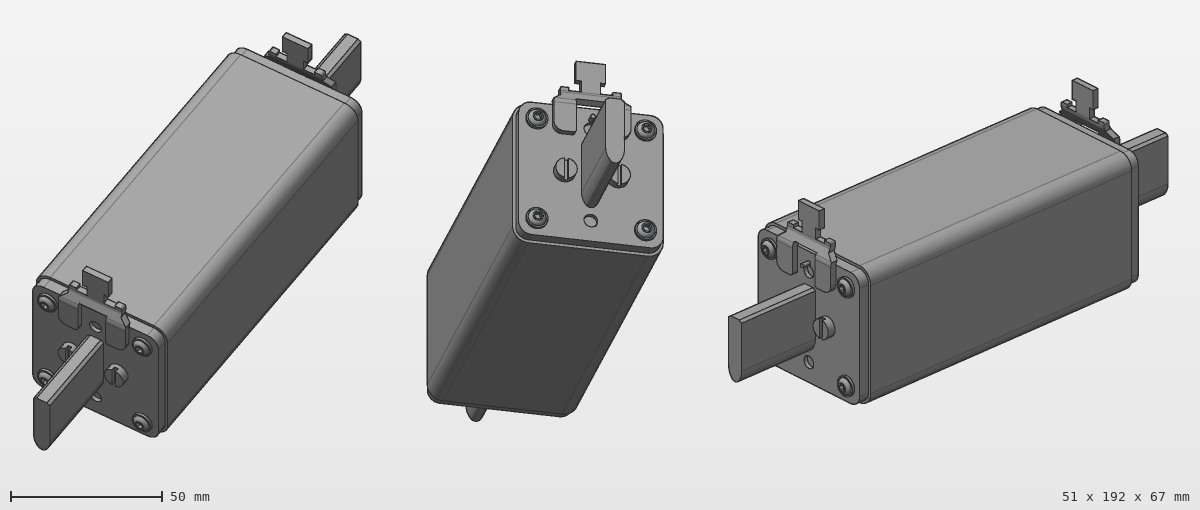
import cadquery as cq
import math


total_length = 192.0
body_width = 51.0
body_half_length = 58.8
body_corner_radius = 5.4
cap_thickness = 4.0
cap_inset = 1.05
cap_face = body_half_length + cap_thickness

blade_width = 6.3
blade_half_width = blade_width / 2
blade_top = 11.7
blade_top_chamfer_width = 1.2
blade_top_chamfer_height = 0.8
blade_flank_start = -7.0
blade_tip_half_width = 1.44
blade_tip_start = -11.5
blade_bottom = -12.0

hole_radius = 2.3
hole_depth = 1.5
hole_offset = 16.9

pin_radius = 0.8
pin_height = 3.0
pin_z = 20.2

slot_screw_offset = 9.0
slot_screw_radius = 3.6
slot_screw_height = 3.0
slot_width = 1.3
slot_depth = 1.5

corner_screw_offset = 18.5
corner_screw_radius = 3.6
corner_screw_height = 2.3
corner_screw_rim = 1.0
corner_screw_dome_radius = 3.0
corner_screw_flat_radius = 1.7
dome_mid_out = 0.6
dome_mid_up = 0.7
socket_width = 2.7
socket_depth = 1.5

lug_thickness = 2.3
lug_height_above_body = 16.0
lug_top = body_width / 2 + lug_height_above_body
lug_bottom = 14.0
bend_start = 25.3
bend_end = 29.8
bend_inner_radius = 1.5
bend_angle = math.atan2(lug_thickness, bend_end - bend_start)
leg_face = -cap_face - lug_thickness
tab_back = -cap_face + lug_thickness
leg_outer_x = 13.0
leg_inner_x = 5.4
leg_outer_radius = 3.3
leg_inner_radius = 1.2
leg_gap_top = 27.0
shoulder_taper_start = 26.0
shoulder_taper_end = 28.2
shoulder_half_width = 10.4
shoulder_top = 30.3
nub_width = 2.9
nub_height = 1.2
nub_radius = 0.5
neck_half_width = 3.3
head_half_width = 5.0
head_bottom = 34.4


def rounded_block(width, length, corner_radius):
    """Square bar centred on the origin, with rounded edges along Y."""
    return cq.Workplane("XY").box(width, length, width).edges("|Y").fillet(corner_radius)


def make_blades():
    """One bar through the body that forms both blades: chamfered top, ogive bottom."""
    flank_dx = blade_half_width - blade_tip_half_width
    flank_dz = blade_flank_start - blade_tip_start
    flank_radius = (flank_dx**2 + flank_dz**2) / (2 * flank_dx)
    half_sweep = math.asin(flank_dz / flank_radius) / 2
    flank_mid_x = blade_half_width - flank_radius * (1 - math.cos(half_sweep))
    flank_mid_z = blade_flank_start - flank_radius * math.sin(half_sweep)
    top_half_width = blade_half_width - blade_top_chamfer_width
    chamfer_z = blade_top - blade_top_chamfer_height
    return (
        cq.Workplane("XZ")
        .moveTo(-top_half_width, blade_top)
        .lineTo(top_half_width, blade_top)
        .lineTo(blade_half_width, chamfer_z)
        .lineTo(blade_half_width, blade_flank_start)
        .threePointArc((flank_mid_x, flank_mid_z), (blade_tip_half_width, blade_tip_start))
        .threePointArc((0, blade_bottom), (-blade_tip_half_width, blade_tip_start))
        .threePointArc((-flank_mid_x, flank_mid_z), (-blade_half_width, blade_flank_start))
        .lineTo(-blade_half_width, chamfer_z)
        .close()
        .extrude(total_length / 2, both=True)
    )


def front_face_plane():
    """Work plane on the -Y cap face: local x is X, local y is Z, normal points outward."""
    return cq.Workplane("XZ", origin=(0, -cap_face, 0))


def make_slotted_screws():
    centres = [(-slot_screw_offset, 0), (slot_screw_offset, 0)]
    heads = (
        front_face_plane()
        .pushPoints(centres)
        .circle(slot_screw_radius)
        .extrude(slot_screw_height)
    )
    slots = (
        front_face_plane()
        .workplane(offset=slot_screw_height - slot_depth)
        .pushPoints(centres)
        .rect(slot_width, 2 * slot_screw_radius)
        .extrude(slot_depth)
    )
    return heads.cut(slots)


def make_corner_screw(x, z):
    """Domed head standing on the -Y cap face, with a hexagonal socket."""
    dome_mid_radius = corner_screw_flat_radius + dome_mid_out * (
        corner_screw_dome_radius - corner_screw_flat_radius
    )
    dome_mid_height = corner_screw_rim + dome_mid_up * (corner_screw_height - corner_screw_rim)
    head = (
        cq.Workplane("XY")
        .lineTo(corner_screw_radius, 0)
        .lineTo(corner_screw_radius, -corner_screw_rim)
        .lineTo(corner_screw_dome_radius, -corner_screw_rim)
        .threePointArc(
            (dome_mid_radius, -dome_mid_height),
            (corner_screw_flat_radius, -corner_screw_height),
        )
        .lineTo(0, -corner_screw_height)
        .close()
        .revolve(360, (0, 0), (0, 1))
    )
    socket = (
        cq.Workplane("XZ", origin=(0, socket_depth - corner_screw_height, 0))
        .polygon(6, socket_width)
        .extrude(socket_depth)
    )
    return head.cut(socket).translate((x, -cap_face, z))


def round_bends(sheet, bends, radius):
    """Round the edges along X that pass through the given (y, z) bend points."""
    for y, z in bends:
        sheet = sheet.edges(cq.selectors.NearestToPointSelector((0, y, z))).fillet(radius)
    return sheet


def bent_sheet():
    """Full-width sheet on the -Y end, stepping from the cap face back over the cap."""
    inner_drop = lug_thickness * math.tan(bend_angle / 2)
    sheet = (
        cq.Workplane("YZ")
        .polyline([
            (leg_face, lug_bottom),
            (-cap_face, lug_bottom),
            (-cap_face, bend_start - inner_drop),
            (tab_back, bend_end - inner_drop),
            (tab_back, lug_top),
            (-cap_face, lug_top),
            (-cap_face, bend_end),
            (leg_face, bend_start),
        ])
        .close()
        .extrude(leg_outer_x, both=True)
    )
    inner_bends = [(-cap_face, bend_start - inner_drop), (-cap_face, bend_end)]
    outer_bends = [(leg_face, bend_start), (tab_back, bend_end - inner_drop)]
    sheet = round_bends(sheet, inner_bends, bend_inner_radius)
    return round_bends(sheet, outer_bends, bend_inner_radius + lug_thickness)


def outline_block(half_width, bottom, top):
    """Block centred on X that spans the -Y half of the part, between two heights."""
    height = top - bottom
    return (
        cq.Workplane("XZ")
        .center(0, bottom + height / 2)
        .rect(2 * half_width, height)
        .extrude(total_length / 2)
    )


def lug_outline():
    """Block with the lug's face outline: tapered shoulders, two nubs, neck and head."""
    base = (
        cq.Workplane("XZ")
        .polyline([
            (-leg_outer_x, lug_bottom),
            (leg_outer_x, lug_bottom),
            (leg_outer_x, shoulder_taper_start),
            (shoulder_half_width, shoulder_taper_end),
            (shoulder_half_width, shoulder_top),
            (-shoulder_half_width, shoulder_top),
            (-shoulder_half_width, shoulder_taper_end),
            (-leg_outer_x, shoulder_taper_start),
        ])
        .close()
        .extrude(total_length / 2)
        .edges("|Y and <Z")
        .fillet(leg_outer_radius)
    )
    nub_top = shoulder_top + nub_height
    nubs = (
        outline_block(shoulder_half_width, shoulder_top, nub_top)
        .edges("|Y and >Z")
        .fillet(nub_radius)
        .cut(outline_block(shoulder_half_width - nub_width, shoulder_top, nub_top))
    )
    neck = outline_block(neck_half_width, shoulder_top, lug_top)
    head = outline_block(head_half_width, head_bottom, lug_top)
    return base.union(nubs).union(neck).union(head)


def leg_gap():
    """Gap between the legs; its top is cut square to the sloping part of the sheet."""
    gap_top_back = leg_gap_top - (tab_back - leg_face) * math.tan(bend_angle)
    return (
        cq.Workplane("YZ")
        .polyline([
            (leg_face, lug_bottom),
            (tab_back, lug_bottom),
            (tab_back, gap_top_back),
            (leg_face, leg_gap_top),
        ])
        .close()
        .extrude(leg_inner_x, both=True)
    )


def make_lug():
    """Gripping lug of the -Y end."""
    lug = bent_sheet().intersect(lug_outline()).cut(leg_gap())
    for side in (-1, 1):
        inner_corner = (side * leg_inner_x, -cap_face - lug_thickness / 2, lug_bottom)
        lug = lug.edges(cq.selectors.NearestToPointSelector(inner_corner)).fillet(leg_inner_radius)
    return lug


fittings = make_slotted_screws().union(make_lug())
for x_side in (-1, 1):
    for z_side in (-1, 1):
        screw = make_corner_screw(x_side * corner_screw_offset, z_side * corner_screw_offset)
        fittings = fittings.union(screw)

indicator_pin = (
    cq.Workplane("XZ", origin=(0, cap_face, pin_z))
    .circle(pin_radius)
    .extrude(-pin_height)
)

blind_holes = (
    cq.Workplane("XZ", origin=(0, hole_depth - cap_face, 0))
    .pushPoints([(0, hole_offset), (0, -hole_offset)])
    .circle(hole_radius)
    .extrude(hole_depth)
)

body = rounded_block(body_width, 2 * body_half_length, body_corner_radius)
caps = rounded_block(body_width - 2 * cap_inset, 2 * cap_face, body_corner_radius - cap_inset)

result = (
    body.union(caps)
    .cut(blind_holes)
    .cut(blind_holes.mirror("XZ"))
    .union(make_blades())
    .union(fittings)
    .union(indicator_pin)
    .union(fittings.mirror("XZ"))
)